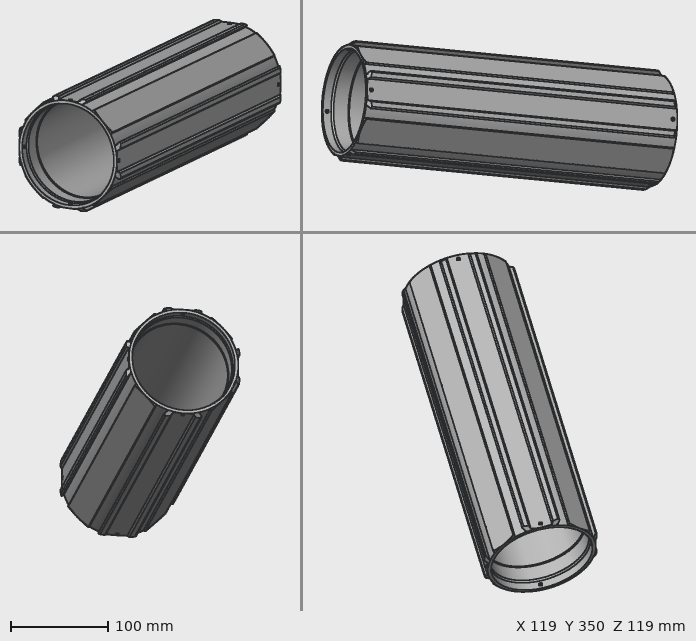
import cadquery as cq
import math

length = 350.0
half_width = 59.5

body_radius = 57.5
bore_radius = 52.0
seat_radius = 53.0
mouth_radius = 54.0

mouth_depth = 9.0
seat_start_depth = 11.5
seat_depth = 28.0
bore_start_depth = 29.0

pad_half_width = 15.0
pad_foot_half_width = 15.5
pad_angles = (45, 135, 225, 315)

side_angles = (0, 90, 180, 270)
lug_inner_foot = 11.2
lug_inner_top = 13.0
lug_outer_top = 18.2
lug_tip = 20.0
lug_tip_height = 58.0
lug_outer_foot = 16.5

hole_diameter = 3.5
hole_inset = 5.0

half_length = length / 2
root_height = bore_radius
pad_foot_height = math.sqrt(body_radius**2 - pad_foot_half_width**2)
corner_radius = math.hypot(half_width, lug_tip)
lug_foot_height = math.sqrt(body_radius**2 - lug_outer_foot**2)


def extrude_along_tube(points):
    """Extrude an outline in X and Z over the whole length of the tube."""
    return cq.Workplane("XZ").polyline(points).close().extrude(half_length, both=True)


def turn_about_axis(points):
    """Revolve an outline of (radius, Y) points about the tube axis."""
    return cq.Workplane("XY").polyline(points).close().revolve(360, (0, 0), (0, 1))


def turn(shape, angle):
    """Turn a shape about the tube axis."""
    return shape.rotate((0, 0, 0), (0, 1, 0), angle)


def make_pad():
    """Flat-topped strip with sloped sides standing on the body circle."""
    return extrude_along_tube([
        (-pad_foot_half_width, root_height),
        (pad_foot_half_width, root_height),
        (pad_foot_half_width, pad_foot_height),
        (pad_half_width, body_radius),
        (-pad_half_width, body_radius),
        (-pad_foot_half_width, pad_foot_height),
    ])


def make_floor():
    """Flat between the two lugs of a pair, tangent to the body circle."""
    return extrude_along_tube([
        (-lug_inner_foot, root_height),
        (lug_inner_foot, root_height),
        (lug_inner_foot, body_radius),
        (-lug_inner_foot, body_radius),
    ])


def make_lug():
    """Hooked strip whose outer side is undercut below its tip."""
    return extrude_along_tube([
        (lug_inner_foot, root_height),
        (lug_inner_foot, body_radius),
        (lug_inner_top, half_width),
        (lug_outer_top, half_width),
        (lug_tip, lug_tip_height),
        (lug_outer_foot, lug_foot_height),
        (lug_outer_foot, root_height),
    ])


def make_bore():
    """Stepped bore with conical transitions, the same from both ends."""
    profile = [
        (mouth_radius, half_length),
        (mouth_radius, half_length - mouth_depth),
        (seat_radius, half_length - seat_start_depth),
        (seat_radius, half_length - seat_depth),
        (bore_radius, half_length - bore_start_depth),
    ]
    mirrored = [(radius, -y) for radius, y in reversed(profile)]
    return turn_about_axis([(0, half_length)] + profile + mirrored + [(0, -half_length)])


def make_turned_envelope():
    """Cylinder with 45 degree end chamfers running down to the body circle."""
    chamfer_start = half_length - (corner_radius - body_radius)
    return turn_about_axis([
        (0, half_length),
        (body_radius, half_length),
        (corner_radius, chamfer_start),
        (corner_radius, -chamfer_start),
        (body_radius, -half_length),
        (0, -half_length),
    ])


def make_screw_holes():
    """Radial holes through the top wall, one near each end."""
    hole_y = half_length - hole_inset
    return (
        cq.Workplane("XY")
        .pushPoints([(0, -hole_y), (0, hole_y)])
        .circle(hole_diameter / 2)
        .extrude(half_width)
    )


result = cq.Workplane("XZ").circle(body_radius).extrude(half_length, both=True)
pad = make_pad()
for angle in pad_angles:
    result = result.union(turn(pad, angle))

lug = make_lug()
side = make_floor().union(lug).union(lug.mirror("YZ"))
for angle in side_angles:
    result = result.union(turn(side, angle))

result = result.intersect(make_turned_envelope())
result = result.cut(make_bore())
screw_holes = make_screw_holes()
for angle in side_angles:
    result = result.cut(turn(screw_holes, angle))